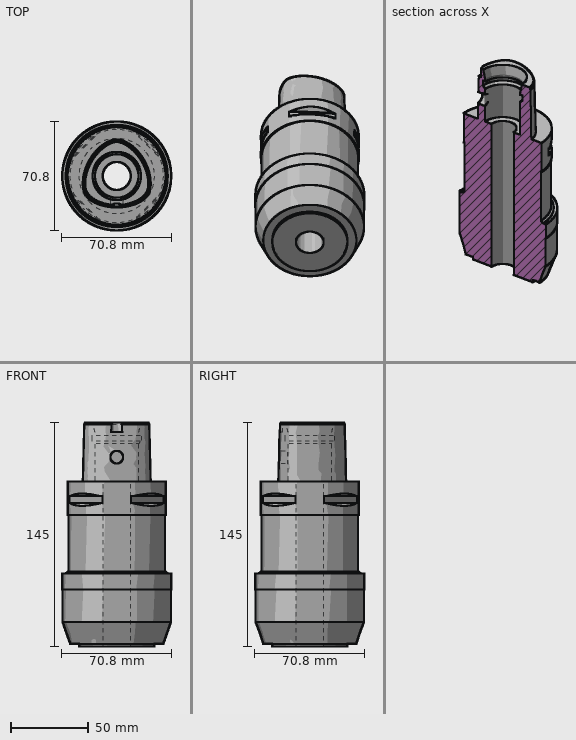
import cadquery as cq
import math

TOTAL_HEIGHT = 145.0
LIP_TOP = 1.7
CONE_TOP = 15.8
NUT_TOP = 36.8
SHOULDER_TOP = 47.3
SHOULDER_BEVEL_TOP = 48.6
COLLAR_BOTTOM = 85.0
COLLAR_TOP = 106.9

LIP_RADIUS = 24.4
CONE_BOTTOM_RADIUS = 30.2
CONE_TOP_RADIUS = 35.1
NUT_RADIUS = 35.2
SHOULDER_RADIUS = 35.4
SHOULDER_BEVEL_RADIUS = 33.0
BODY_RADIUS = 31.3
COLLAR_RADIUS = 31.8

SHANK_BASE_RADIUS = 22.0
SHANK_TAPER = 1 / 40
SHANK_LOBE = 1.6
SHANK_CHAMFER_HEIGHT = 1.5
SHANK_CHAMFER_WIDTH = 0.7
OUTLINE_POINTS = 48

MOUTH_RADIUS = 15.7
BORE_RADIUS = 14.0
MOUTH_DEPTH = 6.8
GROOVE_RADIUS = 16.0
GROOVE_TOP_DEPTH = 8.4
GROOVE_BOTTOM_DEPTH = 11.9
THROUGH_RADIUS = 9.0

GRIP_COUNT = 4
GRIP_FIRST_ANGLE = 45.0
GRIP_MID_HEIGHT = 95.0
GRIP_FLOOR_DISTANCE = 28.0
GRIP_CHAMFER_DISTANCE = 28.7
GRIP_FLOOR_HEIGHT = 4.5
GRIP_MOUTH_HEIGHT = 8.0

NOTCH_RADIUS = 4.5
NOTCH_DEEPEST = 17.7
NOTCH_HEIGHT = 6.2
HOLE_DIAMETER = 8.3
HOLE_HEIGHT = 122.5
HOLE_FLOOR_DISTANCE = 14.5


def revolve_profile(points):
    """Turn an (r, z) half-section about the Z axis."""
    return cq.Workplane("XZ").polyline(points).close().revolve(360, (0, 0, 0), (0, 1, 0))


def turned_body():
    return revolve_profile([
        (0, 0),
        (LIP_RADIUS, 0),
        (LIP_RADIUS, LIP_TOP),
        (CONE_BOTTOM_RADIUS, LIP_TOP),
        (CONE_TOP_RADIUS, CONE_TOP),
        (NUT_RADIUS, CONE_TOP),
        (NUT_RADIUS, NUT_TOP),
        (SHOULDER_RADIUS, NUT_TOP),
        (SHOULDER_RADIUS, SHOULDER_TOP),
        (SHOULDER_BEVEL_RADIUS, SHOULDER_TOP),
        (BODY_RADIUS, SHOULDER_BEVEL_TOP),
        (BODY_RADIUS, COLLAR_BOTTOM),
        (COLLAR_RADIUS, COLLAR_BOTTOM),
        (COLLAR_RADIUS, COLLAR_TOP),
        (0, COLLAR_TOP),
    ])


def lobed_wire(mean_radius, height):
    """Closed three-lobed outline with one lobe toward +Y."""
    points = []
    for i in range(OUTLINE_POINTS):
        angle = 2 * math.pi * i / OUTLINE_POINTS
        lobe_phase = 3 * (angle - math.pi / 2)
        support = mean_radius + SHANK_LOBE * math.cos(lobe_phase)
        slope = -3 * SHANK_LOBE * math.sin(lobe_phase)
        x = support * math.cos(angle) - slope * math.sin(angle)
        y = support * math.sin(angle) + slope * math.cos(angle)
        points.append(cq.Vector(x, y, height))
    return cq.Wire.assembleEdges([cq.Edge.makeSpline(points, periodic=True)])


def polygon_shank():
    chamfer_start = TOTAL_HEIGHT - SHANK_CHAMFER_HEIGHT
    upper_radius = SHANK_BASE_RADIUS - SHANK_TAPER * (chamfer_start - COLLAR_TOP)
    base = lobed_wire(SHANK_BASE_RADIUS, COLLAR_TOP)
    upper = lobed_wire(upper_radius, chamfer_start)
    rim = lobed_wire(upper_radius - SHANK_CHAMFER_WIDTH, TOTAL_HEIGHT)
    taper = cq.Workplane(cq.Solid.makeLoft([base, upper], True))
    return taper.union(cq.Workplane(cq.Solid.makeLoft([upper, rim], True)))


def stepped_bore():
    groove_top = TOTAL_HEIGHT - GROOVE_TOP_DEPTH
    groove_bottom = TOTAL_HEIGHT - GROOVE_BOTTOM_DEPTH
    return revolve_profile([
        (0, 0),
        (THROUGH_RADIUS, 0),
        (THROUGH_RADIUS, COLLAR_TOP),
        (BORE_RADIUS, COLLAR_TOP),
        (BORE_RADIUS, groove_bottom - (GROOVE_RADIUS - BORE_RADIUS)),
        (GROOVE_RADIUS, groove_bottom),
        (GROOVE_RADIUS, groove_top),
        (BORE_RADIUS, groove_top),
        (BORE_RADIUS, TOTAL_HEIGHT - MOUTH_DEPTH),
        (MOUTH_RADIUS, TOTAL_HEIGHT),
        (0, TOTAL_HEIGHT),
    ])


def grip_grooves():
    """Straight grooves with a flat floor, square walls and chamfered edges."""
    profile = [
        (GRIP_FLOOR_DISTANCE, -GRIP_FLOOR_HEIGHT / 2),
        (GRIP_CHAMFER_DISTANCE, -GRIP_FLOOR_HEIGHT / 2),
        (COLLAR_RADIUS, -GRIP_MOUTH_HEIGHT / 2),
        (COLLAR_RADIUS, GRIP_MOUTH_HEIGHT / 2),
        (GRIP_CHAMFER_DISTANCE, GRIP_FLOOR_HEIGHT / 2),
        (GRIP_FLOOR_DISTANCE, GRIP_FLOOR_HEIGHT / 2),
    ]
    groove = (
        cq.Workplane("XZ", origin=(0, 0, GRIP_MID_HEIGHT))
        .polyline(profile)
        .close()
        .extrude(COLLAR_RADIUS, both=True)
    )
    grooves = cq.Workplane()
    for i in range(GRIP_COUNT):
        angle = GRIP_FIRST_ANGLE + i * 360 / GRIP_COUNT
        grooves = grooves.add(groove.rotate((0, 0, 0), (0, 0, 1), angle))
    return grooves.combine()


def locating_notch():
    return (
        cq.Workplane("XY", origin=(0, 0, TOTAL_HEIGHT - NOTCH_HEIGHT))
        .center(0, -NOTCH_DEEPEST - NOTCH_RADIUS)
        .circle(NOTCH_RADIUS)
        .extrude(NOTCH_HEIGHT)
    )


def blind_hole():
    return (
        cq.Workplane("XZ", origin=(0, -HOLE_FLOOR_DISTANCE, HOLE_HEIGHT))
        .circle(HOLE_DIAMETER / 2)
        .extrude(SHANK_BASE_RADIUS - HOLE_FLOOR_DISTANCE)
    )


result = turned_body().union(polygon_shank())
for cutter in (stepped_bore(), grip_grooves(), locating_notch(), blind_hole()):
    result = result.cut(cutter)